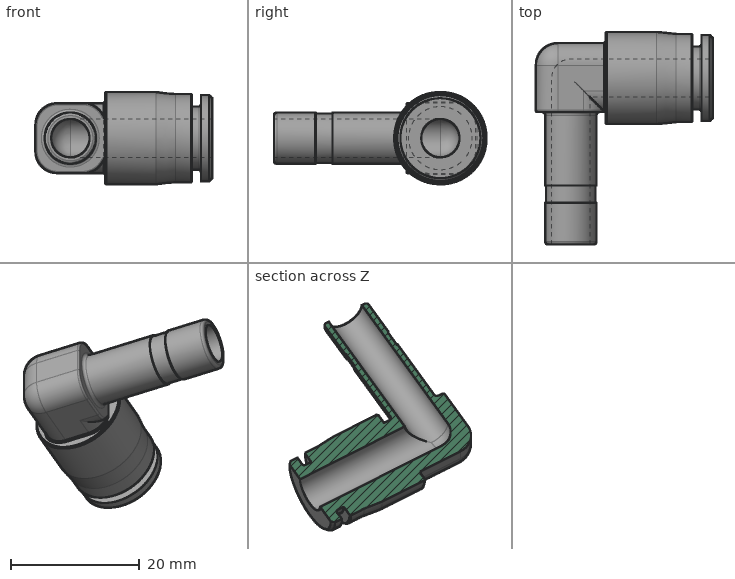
import cadquery as cq


overall_length_x = 27.55
overall_length_y = 33.1

elbow_half = 5.45
elbow_corner = 3.48
stem_face_y = -5.3
elbow_rim = 0.3
flare = 0.2
flare_angle = 45
flare_depth = 0.4
flare_stop_y = -5.05

socket_start = 5.4
socket_diameter = 14.4
socket_radius = socket_diameter / 2
socket_nose_radius = 6.9
taper_start = 13.3
taper_end = 16.35
socket_end = 18.93
socket_chamfer = 0.2
neck_radius = 4.93
neck_fillet = 0.3
flange_radius = 6.72
flange_start = 20.3
flange_end = overall_length_x - elbow_half
flange_chamfer = 0.5

stem_end = overall_length_y - socket_radius
stem_radius = 4.0
stem_base_fillet = 0.5
stem_tip_fillet = 0.5
groove_start = 16.75
groove_end = 19.45
groove_depth = 0.13
bore_radius = 2.98


def rounded_square(plane, half, corner, length):
    """Square bar with rounded corners, centred on the origin."""
    axis = {"XZ": "|Y", "YZ": "|X"}[plane]
    bar = cq.Workplane(plane).rect(2 * half, 2 * half).extrude(length, both=True)
    return bar.edges(axis).fillet(corner)


def make_elbow():
    """Block with a ball-rounded outer corner and a mitred valley at the inner corner."""
    length = socket_start + elbow_half
    depth = elbow_half - stem_face_y
    centre = ((socket_start - elbow_half) / 2, (elbow_half + stem_face_y) / 2, 0)
    block = cq.Workplane("XY").box(length, depth, 2 * elbow_half).translate(centre)
    block = block.edges("(<X and |Y) or (>Y and |X) or (<X and >Y)").fillet(elbow_corner)
    stem_leg = rounded_square("XZ", elbow_half, elbow_corner, 2 * elbow_half)
    socket_leg = rounded_square("YZ", elbow_half, elbow_corner, 2 * elbow_half)
    elbow = block.intersect(stem_leg.union(socket_leg))
    return elbow.faces("<Y").edges("not >X").fillet(elbow_rim)


def make_flare():
    """Sloped rim where the elbow meets the socket; its narrow end sinks into the elbow."""
    half = elbow_half + flare
    section = cq.Workplane("YZ", origin=(socket_start, 0, 0)).sketch()
    section = section.rect(2 * half, 2 * half).vertices().fillet(elbow_corner + flare).finalize()
    rim = section.extrude(-flare_depth, taper=flare_angle)
    half_space = cq.Workplane("XZ", origin=(0, flare_stop_y, 0)).rect(4 * half, 4 * half).extrude(-3 * half)
    return rim.intersect(half_space)


def make_socket():
    """Turned collar, neck and release flange."""
    profile = (
        cq.Workplane("XY")
        .moveTo(socket_start, 0)
        .lineTo(socket_start, socket_radius - socket_chamfer)
        .lineTo(socket_start + socket_chamfer, socket_radius)
        .lineTo(taper_start, socket_radius)
        .lineTo(taper_end, socket_nose_radius)
        .lineTo(socket_end - socket_chamfer, socket_nose_radius)
        .lineTo(socket_end, socket_nose_radius - socket_chamfer)
        .lineTo(socket_end, neck_radius)
        .lineTo(flange_start - neck_fillet, neck_radius)
        .radiusArc((flange_start, neck_radius + neck_fillet), -neck_fillet)
        .lineTo(flange_start, flange_radius)
        .lineTo(flange_end - flange_chamfer, flange_radius)
        .lineTo(flange_end, flange_radius - flange_chamfer)
        .lineTo(flange_end, 0)
        .close()
    )
    return profile.revolve(360, (0, 0), (1, 0))


def make_stem():
    """Turned stem with a filleted root, a shallow groove and a rounded tip."""
    groove_radius = stem_radius - groove_depth
    root_y = stem_face_y - stem_base_fillet
    profile = (
        cq.Workplane("XY")
        .moveTo(0, 0)
        .lineTo(stem_radius + stem_base_fillet, 0)
        .lineTo(stem_radius + stem_base_fillet, stem_face_y)
        .radiusArc((stem_radius, root_y), -stem_base_fillet)
        .lineTo(stem_radius, -groove_start)
        .lineTo(groove_radius, -groove_start)
        .lineTo(groove_radius, -groove_end + groove_depth)
        .lineTo(stem_radius, -groove_end)
        .lineTo(stem_radius, -stem_end + stem_tip_fillet)
        .radiusArc((stem_radius - stem_tip_fillet, -stem_end), stem_tip_fillet)
        .lineTo(0, -stem_end)
        .close()
    )
    return profile.revolve(360, (0, 0), (0, 1))


def make_bore():
    """Flow passage: two equal bores joined by a ball at the elbow."""
    stem_bore = cq.Workplane("XZ").circle(bore_radius).extrude(stem_end)
    socket_bore = cq.Workplane("YZ").circle(bore_radius).extrude(flange_end)
    return stem_bore.union(socket_bore).union(cq.Workplane("XY").sphere(bore_radius))


solid = make_elbow().union(make_flare()).union(make_socket()).union(make_stem())
result = solid.cut(make_bore())